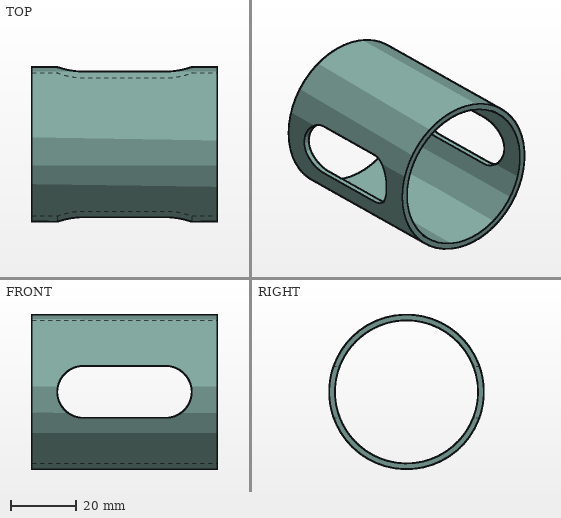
import cadquery as cq

tube_length = 57.15
outer_diameter = 47.6
wall_thickness = 1.85
inner_diameter = outer_diameter - 2 * wall_thickness

slot_length = 41.25
slot_width = 15.9


def make_tube():
    """Plain tube centred on the origin."""
    return (
        cq.Workplane("YZ")
        .circle(outer_diameter / 2)
        .circle(inner_diameter / 2)
        .extrude(tube_length / 2, both=True)
    )


def make_slot_cutter():
    """Round-ended bar along Y that cuts both walls at once."""
    return (
        cq.Workplane("XZ")
        .slot2D(slot_length, slot_width)
        .extrude(outer_diameter, both=True)
    )


result = make_tube().cut(make_slot_cutter())